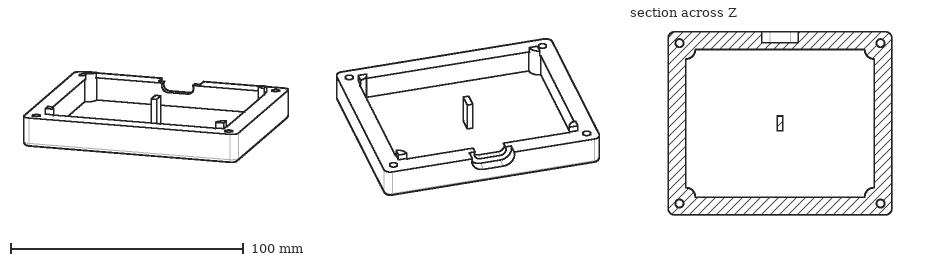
import cadquery as cq

length = 96.45
width = 78.95
body_height = 12.9
peg_height = 2.5
total_height = body_height + peg_height
corner_radius = 3.0
bottom_fillet = 1.7

wall = 7.75
floor_thickness = 3.0
cavity_length = length - 2 * wall
cavity_width = width - 2 * wall

hole_diameter = 3.4
hole_inset = 5.0

post_radius = 4.1
peg_clearance = 0.35

centre_post_length = 2.5
centre_post_width = 6.4

notch_flat = 8.8
notch_axis_depth = 1.3
notch_inner_diameter = 5.4
notch_step = 2.4
notch_outer_diameter = notch_inner_diameter + 2 * notch_step
notch_outer_depth = 4.8


def make_box(size_x, size_y, bottom, top):
    """Box centred on the Z axis between two heights."""
    return cq.Workplane("XY").workplane(offset=bottom).rect(size_x, size_y).extrude(top - bottom)


def make_shell():
    """Rounded block with the rectangular cavity sunk into it."""
    block = make_box(length, width, 0, body_height)
    block = block.edges("|Z").fillet(corner_radius)
    block = block.faces("<Z").edges().fillet(bottom_fillet)
    return block.cut(make_box(cavity_length, cavity_width, floor_thickness, body_height))


def make_corner_posts(size_x, size_y, bottom, top):
    """Cylinders on the cavity corners, trimmed to a centred rectangle."""
    cylinders = (
        cq.Workplane("XY")
        .workplane(offset=bottom)
        .rect(cavity_length, cavity_width, forConstruction=True)
        .vertices()
        .circle(post_radius)
        .extrude(top - bottom)
    )
    return cylinders.intersect(make_box(size_x, size_y, bottom, top))


def make_notch(diameter, start_y, end_y):
    """Horizontal slot along Y with rounded ends, its axis just below the rim."""
    return (
        cq.Workplane("XZ", origin=(0, end_y, body_height - notch_axis_depth))
        .slot2D(notch_flat + diameter, diameter)
        .extrude(end_y - start_y)
    )


def make_screw_holes():
    """Four through holes in the corners of the rim."""
    return (
        cq.Workplane("XY")
        .rect(length - 2 * hole_inset, width - 2 * hole_inset, forConstruction=True)
        .vertices()
        .circle(hole_diameter / 2)
        .extrude(body_height)
    )


outer_face_y = width / 2
inner_face_y = cavity_width / 2
peg_span_x = cavity_length - 2 * peg_clearance
peg_span_y = cavity_width - 2 * peg_clearance

result = make_shell()
result = result.union(make_corner_posts(cavity_length, cavity_width, floor_thickness, body_height))
result = result.union(make_corner_posts(peg_span_x, peg_span_y, body_height, total_height))
result = result.union(make_box(centre_post_length, centre_post_width, floor_thickness, total_height))
result = result.cut(make_notch(notch_inner_diameter, inner_face_y, outer_face_y))
result = result.cut(make_notch(notch_outer_diameter, outer_face_y - notch_outer_depth, outer_face_y))
result = result.cut(make_screw_holes())